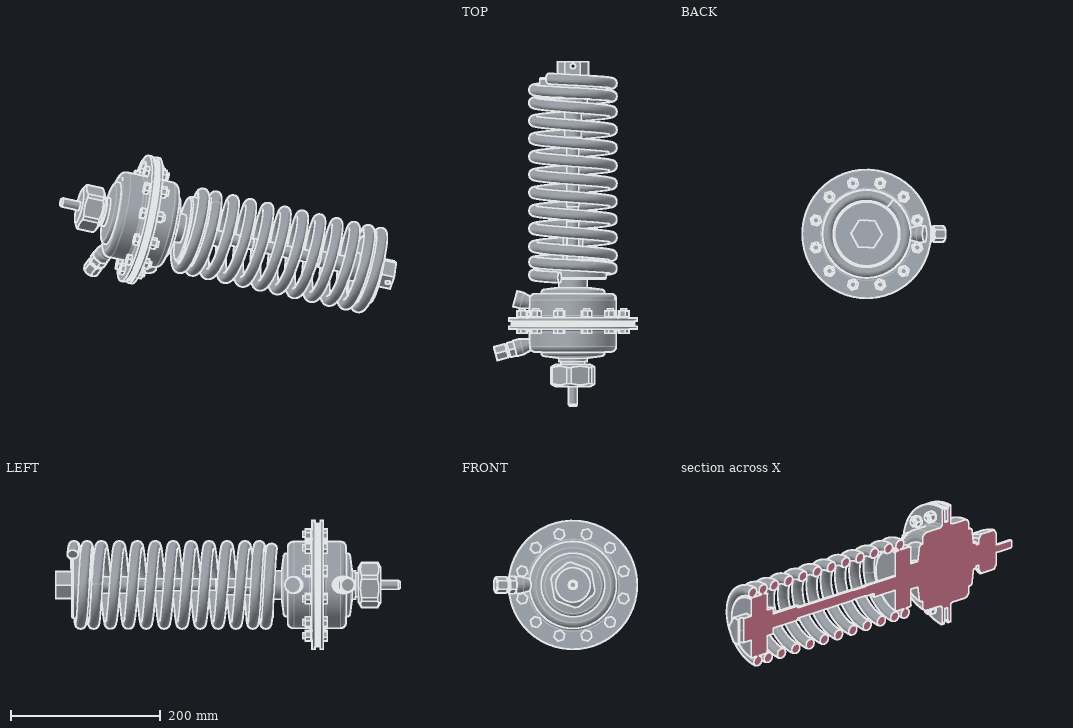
import cadquery as cq
import math


plate_dia = 172.0
plate_thickness = 4.3
sheet_dia = 165.0
spacer_dia = 128.0
joint_gap = 6.5
layer_count = 5
layer_thickness = joint_gap / layer_count
plate_face = joint_gap / 2 + plate_thickness

housing_radius = 116.0 / 2
upper_drum_end = 40.1
lower_drum_end = 38.1
housing_edge_fillet = 8.0
housing_foot_fillet = 3.5
cap_radius = 42.5
cap_straight_height = 0.8
cap_fillet = 4.8
cap_cone_radius = 20.0
cap_height = 8.0

bolt_count = 12
bolt_circle_radius = 70.0
bolt_first_angle = 15.0
bolt_dia = 8.0
bolt_tip_length = 3.2
bolt_hex_flats = 13.0
bolt_head_height = 5.5
bolt_washer_dia = 12.0
bolt_washer_thickness = 1.5
bolt_nut_height = 7.8

collar_dia = 38.5
collar_end = -50.6
throat_dia = 32.0
nut_top = -54.4
nut_bottom = -84.2
nut_flats = 55.0
nut_round_dia = 60.5
nut_face_dia = 46.0
nut_chamfer_height = 4.2
nut_corner_angle = 40.0
stem_dia = 12.0
stem_tip_dia = 8.3
stem_tip_length = 2.5
stem_end = -110.2

wire_dia = 14.5
coil_radius = 51.6
spring_bottom = 61.4
spring_bottom_angle = 110.0
top_end_turns = 1.86
middle_turns = 8.5
bottom_end_turns = 1.69
end_pitch = 17.4
middle_pitch = 23.95

plug_dia = 89.2
plug_chamfer = 2.0
plug_hub_dia = 38.5
plug_hub_bottom = 290.0
top_plug_bottom = 300.0
top_plug_top = 328.1
bottom_plug_bottom = 59.0
bottom_plug_top = 86.0
upper_rod_dia = 21.8
lower_rod_dia = 16.0
rod_step = 248.6
rod_waist_dia = 14.5
rod_waist_bottom = 136.0
rod_waist_top = 156.0
shell_dia = 26.5
shell_top = 121.0
shell_cut_z = -3.2

overall_length = 459.57
adjuster_top = stem_end + overall_length
adjuster_flats = 36.0
adjuster_corner_angle = 2.0
cross_hole_dia = 6.5
cross_hole_depth = 6.0

fitting_offset = 28.0
fitting_tilt = 15.0
fitting_embed = 15.0
stub_dia = 16.0
stub_length = 11.0
socket_dia = 21.8
socket_length = 9.0
inner_hex_flats = 20.0
inner_hex_length = 8.6
union_neck_dia = 16.0
union_neck_length = 2.5
outer_hex_flats = 19.0
outer_hex_length = 16.0
outer_hex_face_dia = 18.0
outer_hex_chamfer_height = 1.5


def cylinder(y_start, y_end, diameter):
    """Round bar on the Y axis between two stations."""
    plane = cq.Workplane("XZ", origin=(0, y_start, 0))
    return plane.circle(diameter / 2).extrude(y_start - y_end)


def hexagon(y_start, y_end, flats, corner_angle):
    """Hexagonal bar on the Y axis with one corner at the given angle from +X towards +Z."""
    corner_dia = flats / math.cos(math.pi / 6)
    bar = cq.Workplane("XZ", origin=(0, y_start, 0)).polygon(6, corner_dia).extrude(y_start - y_end)
    return bar.rotate((0, 0, 0), (0, 1, 0), -corner_angle)


def turned(profile):
    """Solid of revolution about Y from (radius, y) points that start and end on the axis."""
    return cq.Workplane("XY").polyline(profile).close().revolve(360, (0, 0, 0), (0, 1, 0))


def make_housing_half(drum_end):
    """Plate, fillets, drum and domed cap on the +Y side."""
    cap_straight_end = drum_end + cap_straight_height
    cap_end = drum_end + cap_height
    diagonal = 1 - math.sqrt(0.5)
    foot = housing_foot_fillet
    edge = housing_edge_fillet
    return (
        cq.Workplane("XY")
        .moveTo(0, joint_gap / 2)
        .lineTo(plate_dia / 2, joint_gap / 2)
        .lineTo(plate_dia / 2, plate_face)
        .lineTo(housing_radius + foot, plate_face)
        .threePointArc(
            (housing_radius + foot * diagonal, plate_face + foot * diagonal),
            (housing_radius, plate_face + foot),
        )
        .lineTo(housing_radius, drum_end - edge)
        .threePointArc(
            (housing_radius - edge * diagonal, drum_end - edge * diagonal),
            (housing_radius - edge, drum_end),
        )
        .lineTo(cap_radius, drum_end)
        .lineTo(cap_radius, cap_straight_end)
        .threePointArc(
            (cap_radius - cap_fillet * diagonal, cap_straight_end + cap_fillet * (1 - diagonal)),
            (cap_radius - cap_fillet, cap_straight_end + cap_fillet),
        )
        .lineTo(cap_cone_radius, cap_end)
        .lineTo(0, cap_end)
        .close()
        .revolve(360, (0, 0, 0), (0, 1, 0))
    )


def make_joint_layers():
    """Wide sheets alternating with narrower spacers between the two plates."""
    stack = None
    for index in range(layer_count):
        bottom = -joint_gap / 2 + index * layer_thickness
        diameter = sheet_dia if index % 2 == 0 else spacer_dia
        layer = cylinder(bottom, bottom + layer_thickness, diameter)
        stack = layer if stack is None else stack.union(layer)
    return stack


def make_bolt():
    """Bolt on the Y axis: head on the -Y side, washer face, nut and tip on the +Y side."""
    nut_start = plate_face + bolt_washer_thickness
    nut_end = nut_start + bolt_nut_height
    head = hexagon(-plate_face - bolt_head_height, -plate_face, bolt_hex_flats, 0)
    nut = hexagon(nut_start, nut_end, bolt_hex_flats, 0)
    shank = cylinder(-plate_face, nut_end + bolt_tip_length, bolt_dia)
    washer = cylinder(plate_face, nut_start, bolt_washer_dia)
    return head.union(shank).union(washer).union(nut)


def add_bolts(body):
    """Join the ring of bolts to the body."""
    bolt = make_bolt().translate((bolt_circle_radius, 0, 0))
    for index in range(bolt_count):
        angle = bolt_first_angle + index * 360 / bolt_count
        body = body.union(bolt.rotate((0, 0, 0), (0, 1, 0), -angle))
    return body


def make_connection():
    """Collar, throat, chamfered nut and stem below the housing."""
    blank = turned([
        (0, nut_top),
        (nut_face_dia / 2, nut_top),
        (nut_round_dia / 2, nut_top - nut_chamfer_height),
        (nut_round_dia / 2, nut_bottom + nut_chamfer_height),
        (nut_face_dia / 2, nut_bottom),
        (0, nut_bottom),
    ])
    nut = hexagon(nut_bottom, nut_top, nut_flats, nut_corner_angle).intersect(blank)
    core = turned([
        (0, -lower_drum_end),
        (collar_dia / 2, -lower_drum_end),
        (collar_dia / 2, collar_end),
        (throat_dia / 2, collar_end),
        (throat_dia / 2, nut_top),
        (stem_dia / 2, nut_top),
        (stem_dia / 2, stem_end + stem_tip_length),
        (stem_tip_dia / 2, stem_end),
        (0, stem_end),
    ])
    return nut.union(core)


def make_coil(turns, pitch, start_height, start_angle):
    """Left-handed run of the wire climbing Y; its ends lie in planes through the Y axis."""
    path = cq.Workplane(cq.Wire.makeHelix(pitch, pitch * turns, coil_radius, lefthand=True))
    section = cq.Workplane("XZ").center(coil_radius, 0).circle(wire_dia / 2)
    coil = section.sweep(path, isFrenet=True)
    along_y = coil.rotate((0, 0, 0), (1, 0, 0), -90).translate((0, start_height, 0))
    return along_y.rotate((0, 0, 0), (0, 1, 0), -start_angle)


def make_spring():
    """Three runs of wire end to end from the bottom of the spring to its top."""
    runs = [
        (bottom_end_turns, end_pitch),
        (middle_turns, middle_pitch),
        (top_end_turns, end_pitch),
    ]
    height = spring_bottom
    angle = spring_bottom_angle
    spring = None
    for turns, pitch in runs:
        coil = make_coil(turns, pitch, height, angle)
        spring = coil if spring is None else spring.union(coil)
        height += turns * pitch
        angle += turns * 360
    return spring


def make_spring_core():
    """Plugs inside the spring ends, neck, hub, stepped rod and half shell around the rod."""
    neck = cylinder(upper_drum_end, bottom_plug_bottom, collar_dia)
    bottom_plug = cylinder(bottom_plug_bottom, bottom_plug_top, plug_dia).edges().chamfer(plug_chamfer)
    top_plug = cylinder(top_plug_bottom, top_plug_top, plug_dia).edges().chamfer(plug_chamfer)
    hub = cylinder(plug_hub_bottom, top_plug_bottom, plug_hub_dia)
    rod = (
        cylinder(bottom_plug_top, rod_waist_bottom, lower_rod_dia)
        .union(cylinder(rod_waist_bottom, rod_waist_top, rod_waist_dia))
        .union(cylinder(rod_waist_top, rod_step, lower_rod_dia))
        .union(cylinder(rod_step, top_plug_bottom, upper_rod_dia))
    )
    cut_plane = cq.Workplane("XY", origin=(0, 0, shell_cut_z))
    lower_half = cut_plane.rect(shell_dia, 2 * shell_top).extrude(-shell_dia)
    shell = cylinder(bottom_plug_top, shell_top, shell_dia).intersect(lower_half)
    return neck.union(bottom_plug).union(top_plug).union(hub).union(rod).union(shell)


def make_adjuster():
    """Hexagon above the top plug with a cross hole along Z."""
    bar = hexagon(top_plug_top, adjuster_top, adjuster_flats, adjuster_corner_angle)
    hole = (
        cq.Workplane("XY")
        .center(0, adjuster_top - cross_hole_depth)
        .circle(cross_hole_dia / 2)
        .extrude(adjuster_flats, both=True)
    )
    return bar.cut(hole)


def make_outer_hex(start, end):
    """Hexagonal union nut with chamfered corners at both ends."""
    corner_radius = outer_hex_flats / math.sqrt(3)
    blank = turned([
        (0, start),
        (outer_hex_face_dia / 2, start),
        (corner_radius, start + outer_hex_chamfer_height),
        (corner_radius, end - outer_hex_chamfer_height),
        (outer_hex_face_dia / 2, end),
        (0, end),
    ])
    return hexagon(start, end, outer_hex_flats, 90).intersect(blank)


def make_fitting(with_union):
    """Fitting along +Y whose station 0 lies on the housing wall."""
    socket_end = stub_length + socket_length
    fitting = turned([
        (0, -fitting_embed),
        (stub_dia / 2, -fitting_embed),
        (stub_dia / 2, 0),
        (socket_dia / 2, stub_length),
        (0, stub_length),
    ])
    fitting = fitting.union(cylinder(stub_length, socket_end, socket_dia))
    if with_union:
        inner_end = socket_end + inner_hex_length
        neck_end = inner_end + union_neck_length
        fitting = fitting.union(hexagon(socket_end, inner_end, inner_hex_flats, 90))
        fitting = fitting.union(cylinder(inner_end, neck_end, union_neck_dia))
        fitting = fitting.union(make_outer_hex(neck_end, neck_end + outer_hex_length))
    return fitting


def place_fitting(fitting, side):
    """Turn a fitting to -X, lean it towards the given side of the joint and move it to the wall."""
    turn = 90 - side * fitting_tilt
    placed = fitting.rotate((0, 0, 0), (0, 0, 1), turn)
    return placed.translate((-housing_radius, side * fitting_offset, 0))


upper_housing = make_housing_half(upper_drum_end)
lower_housing = make_housing_half(lower_drum_end).mirror("XZ")
body = upper_housing.union(lower_housing).union(make_joint_layers())
body = add_bolts(body)
body = body.union(make_connection())
body = body.union(place_fitting(make_fitting(False), 1))
body = body.union(place_fitting(make_fitting(True), -1))
body = body.union(make_spring_core()).union(make_adjuster())
result = body.union(make_spring())